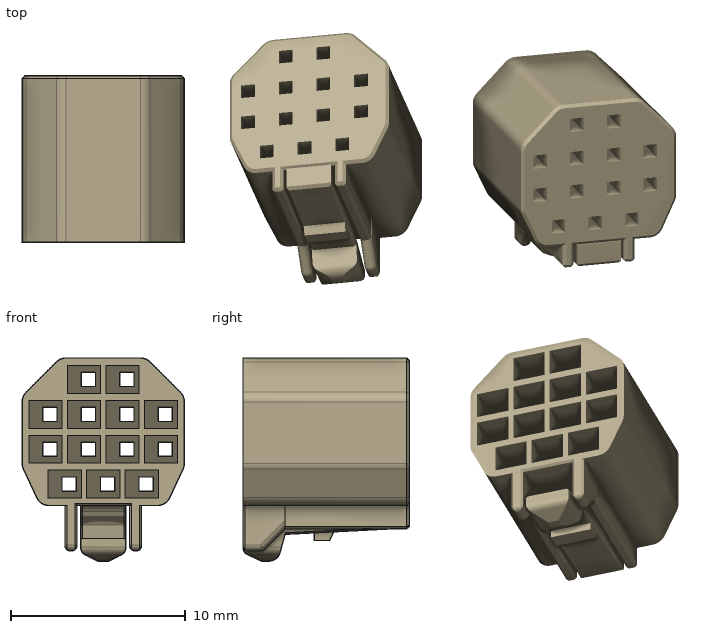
import cadquery as cq

EPS = 0.01
JOIN_OVERLAP = 0.2

LENGTH = 9.55
HALF_WIDTH = 9.3 / 2
HEIGHT = 8.465
OVERALL_HEIGHT = 11.65
TOP_CORNER = 2.2
LOWER_CORNER_RUN = 1.05
LOWER_CORNER_RISE = 2.25
CORNER_RADIUS = 0.8
REAR_CHAMFER = 0.17

CAVITY_WIDTH = 1.9
CAVITY_HEIGHT = 1.6
CAVITY_DEPTH = 7.5
PITCH_X = 2.2
PITCH_Z = 2.0
BOTTOM_ROW_Z = 1.23
ROW_COUNTS = (3, 4, 4, 2)
PIN_HOLE = 0.8
PIN_HOLE_SHIFT = 0.25

RAIL_INNER = 1.5
RAIL_OUTER = 2.2
RAIL_WIDTH = RAIL_OUTER - RAIL_INNER
RAIL_LENGTH = 2.42
RAIL_DROP = 2.6
RAIL_TIP_RADIUS = RAIL_WIDTH / 2 - EPS
WALL_DROP = 1.33
WALL_INSET = 0.05
WALL_CHAMFER = 0.14
MOUTH_CHAMFER = 0.12

ARM_HALF_WIDTH = 1.3
ARM_CHAMFER = 0.1
ROOT_Y = 8.2
ROOT_CEILING_RADIUS = 0.17
ROOT_ARM_RADIUS = 0.3
ROOT_TOP_DROP = 0.62
ARM_FLAT_Y = 8.6
KNEE_Y = 2.2
KNEE_DROP = 1.12
ARM_BOTTOM_DROP = 1.65

LIP_TOP_DROP = 1.87
LIP_CORNER_DROP = 2.68
HEAD_DROP = OVERALL_HEIGHT - HEIGHT
HEAD_FLAT_FRONT_Y = 1.08
HEAD_REAR_Y = 2.0
HEAD_RADIUS = 0.5
HEAD_REAR_RADIUS = 0.7
HEAD_FLAT_HALF_WIDTH = 0.31

CATCH_FRONT_Y = 4.08
CATCH_REAR_Y = 4.97
CATCH_REAR_TOP_Y = 5.25
CATCH_TOP_DROP = 1.4
CATCH_DROP = 2.0


def side_profile(points, x_min, x_max):
    """Extrude a closed (Y, Z) outline from x_min to x_max."""
    return cq.Workplane("YZ", origin=(x_min, 0, 0)).polyline(points).close().extrude(x_max - x_min)


def box_between(x_min, x_max, y_min, y_max, z_min, z_max):
    size = (x_max - x_min, y_max - y_min, z_max - z_min)
    return cq.Workplane("XY").box(*size, centered=False).translate((x_min, y_min, z_min))


def mirrored_pair(piece):
    return piece.union(piece.mirror("YZ"))


def edges_near(y, z):
    """Selector for the crosswise edge that runs through (y, z)."""
    return cq.selectors.BoxSelector((-HALF_WIDTH, y - EPS, z - EPS), (HALF_WIDTH, y + EPS, z + EPS))


def make_housing():
    bottom_half_width = HALF_WIDTH - LOWER_CORNER_RUN
    top_half_width = HALF_WIDTH - TOP_CORNER
    right_side = [
        (bottom_half_width, 0),
        (HALF_WIDTH, LOWER_CORNER_RISE),
        (HALF_WIDTH, HEIGHT - TOP_CORNER),
        (top_half_width, HEIGHT),
    ]
    left_side = [(-x, z) for x, z in reversed(right_side)]
    body = cq.Workplane("XZ").polyline(right_side + left_side).close().extrude(-LENGTH)
    return body.edges("|Y").fillet(CORNER_RADIUS).faces(">Y").chamfer(REAR_CHAMFER)


def cavity_centres():
    centres = []
    for row, count in enumerate(ROW_COUNTS):
        for column in range(count):
            x = (column - (count - 1) / 2) * PITCH_X
            centres.append((x, BOTTOM_ROW_Z + row * PITCH_Z))
    return centres


def make_cavities():
    centres = cavity_centres()
    pin_centres = [(x + PIN_HOLE_SHIFT, z) for x, z in centres]
    front = cq.Workplane("XZ")
    cavities = front.pushPoints(centres).rect(CAVITY_WIDTH, CAVITY_HEIGHT).extrude(-CAVITY_DEPTH)
    pin_holes = front.pushPoints(pin_centres).rect(PIN_HOLE, PIN_HOLE).extrude(-LENGTH)
    return cavities.union(pin_holes)


def make_rail():
    """Right-hand rail: a post with a 45-degree rear slope, rounded along its lower end."""
    slope_start_y = RAIL_LENGTH - (RAIL_DROP - WALL_DROP)
    rail = side_profile(
        [
            (0, JOIN_OVERLAP),
            (0, -RAIL_DROP),
            (slope_start_y, -RAIL_DROP),
            (RAIL_LENGTH, -WALL_DROP),
            (RAIL_LENGTH, JOIN_OVERLAP),
        ],
        RAIL_INNER,
        RAIL_OUTER,
    )
    rail = rail.edges(edges_near(slope_start_y, -RAIL_DROP)).fillet(RAIL_TIP_RADIUS)
    rail = rail.edges("not (|X or |Z or >Z)").fillet(RAIL_TIP_RADIUS)
    front_envelope = box_between(RAIL_INNER, RAIL_OUTER, 0, RAIL_LENGTH, -RAIL_DROP, JOIN_OVERLAP)
    front_envelope = front_envelope.edges(edges_near(0, -RAIL_DROP)).fillet(RAIL_TIP_RADIUS)
    front_envelope = front_envelope.faces("<Y").edges("|Z").chamfer(MOUTH_CHAMFER)
    return rail.intersect(front_envelope)


def make_wall():
    """Right-hand wall shielding the arm from behind the rail to the rear face."""
    outer_x = RAIL_OUTER - WALL_INSET
    wall = box_between(RAIL_INNER, outer_x, RAIL_LENGTH - EPS, LENGTH, -WALL_DROP, JOIN_OVERLAP)
    wall = wall.edges("|Y and <Z").chamfer(WALL_CHAMFER)
    return wall.faces(">Y").edges("not >Z").chamfer(REAR_CHAMFER)


def make_mouth_bevel():
    """Tapered cutter that bevels the front edge of the opening between the two rails."""
    half_width = RAIL_INNER + MOUTH_CHAMFER
    return (
        cq.Workplane("XZ")
        .center(0, MOUTH_CHAMFER - WALL_DROP / 2)
        .rect(2 * half_width, WALL_DROP)
        .extrude(-MOUTH_CHAMFER, taper=45)
    )


def make_arm_profile():
    """Arm and latch head as a full-width extrusion of their side outline."""
    arm = side_profile(
        [
            (0, -LIP_TOP_DROP),
            (0, -LIP_CORNER_DROP),
            (HEAD_FLAT_FRONT_Y, -HEAD_DROP),
            (HEAD_REAR_Y, -HEAD_DROP),
            (RAIL_LENGTH, -ARM_BOTTOM_DROP),
            (ARM_FLAT_Y, -WALL_DROP),
            (LENGTH, -WALL_DROP),
            (LENGTH, 0),
            (ROOT_Y, 0),
            (ROOT_Y, -ROOT_TOP_DROP),
            (KNEE_Y, -KNEE_DROP),
        ],
        -ARM_HALF_WIDTH,
        ARM_HALF_WIDTH,
    )
    arm = arm.edges(edges_near(0, -LIP_CORNER_DROP)).fillet(HEAD_RADIUS)
    arm = arm.edges(edges_near(HEAD_REAR_Y, -HEAD_DROP)).fillet(HEAD_REAR_RADIUS)
    arm = arm.edges(edges_near(ROOT_Y, -ROOT_TOP_DROP)).fillet(ROOT_ARM_RADIUS)
    arm = arm.edges(edges_near(LENGTH, -WALL_DROP)).chamfer(REAR_CHAMFER)
    above_head = cq.selectors.BoxSelector(
        (-HALF_WIDTH, EPS, -LIP_TOP_DROP), (HALF_WIDTH, LENGTH - REAR_CHAMFER, -EPS)
    )
    return arm.edges(above_head).edges("not |X").chamfer(ARM_CHAMFER)


def make_arm():
    """Arm with the lower corners of its head sloped and rounded."""
    envelope = (
        cq.Workplane("XZ")
        .polyline(
            [
                (-ARM_HALF_WIDTH, 0),
                (-ARM_HALF_WIDTH, -LIP_CORNER_DROP),
                (-HEAD_FLAT_HALF_WIDTH, -HEAD_DROP),
                (HEAD_FLAT_HALF_WIDTH, -HEAD_DROP),
                (ARM_HALF_WIDTH, -LIP_CORNER_DROP),
                (ARM_HALF_WIDTH, 0),
            ]
        )
        .close()
        .extrude(-LENGTH)
    )
    for side in (-1, 1):
        corner = (side * ARM_HALF_WIDTH, LENGTH / 2, -LIP_CORNER_DROP)
        envelope = envelope.edges(cq.selectors.NearestToPointSelector(corner)).fillet(HEAD_RADIUS)
    return make_arm_profile().intersect(envelope)


def make_root_fillet():
    """Concave fillet between the housing underside and the front of the arm root."""
    radius = ROOT_CEILING_RADIUS
    half_width = ARM_HALF_WIDTH - ARM_CHAMFER
    return (
        cq.Workplane("YZ", origin=(-half_width, 0, 0))
        .moveTo(ROOT_Y, 0)
        .lineTo(ROOT_Y - radius, 0)
        .radiusArc((ROOT_Y, -radius), radius)
        .close()
        .extrude(2 * half_width)
    )


def make_catch():
    half_width = ARM_HALF_WIDTH - ARM_CHAMFER
    outline = [
        (CATCH_FRONT_Y, -CATCH_TOP_DROP),
        (CATCH_FRONT_Y, -CATCH_DROP),
        (CATCH_REAR_Y, -CATCH_DROP),
        (CATCH_REAR_TOP_Y, -CATCH_TOP_DROP),
    ]
    return side_profile(outline, -half_width, half_width)


housing = make_housing().cut(make_cavities())
guards = mirrored_pair(make_rail().union(make_wall()))
latch = make_arm().union(make_root_fillet()).union(make_catch())
result = housing.union(guards).cut(make_mouth_bevel()).union(latch)